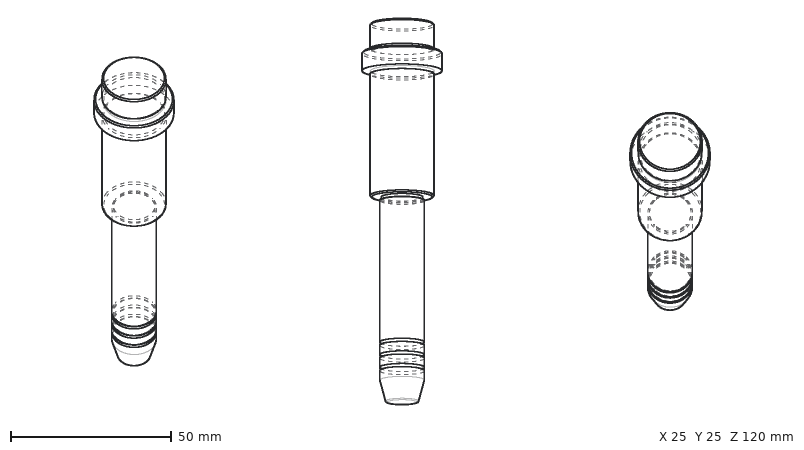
import cadquery as cq
import math

total_length = 120.0
head_diameter = 20.0
collar_diameter = 25.0
shank_diameter = 14.0
head_length = 9.0
collar_length = 6.0
body_length = 40.0
taper_length = 7.0
taper_angle = 15.0
edge_chamfer = 0.5
tip_fillet = 0.5
relief_width = 1.0
relief_depth = 0.5
groove_radius = 0.5
groove_pitch = 4.0
groove_count = 3

head_radius = head_diameter / 2
collar_radius = collar_diameter / 2
shank_radius = shank_diameter / 2
tip_radius = shank_radius - taper_length * math.tan(math.radians(taper_angle))
groove_width = 2 * groove_radius
collar_top = total_length - head_length
collar_bottom = collar_top - collar_length
body_bottom = collar_bottom - body_length


def turn(profile):
    """Close a half-plane profile and revolve it about the Z axis."""
    return profile.close().revolve(360, (0, 0, 0), (0, 1, 0))


def make_blank():
    """Stepped pin with chamfered shoulders and a rounded tip, without undercut and grooves."""
    pin = (
        cq.Workplane("XZ")
        .moveTo(0, 0)
        .lineTo(tip_radius, 0)
        .lineTo(shank_radius, taper_length)
        .lineTo(shank_radius, body_bottom)
        .lineTo(head_radius - edge_chamfer, body_bottom)
        .lineTo(head_radius, body_bottom + edge_chamfer)
        .lineTo(head_radius, collar_bottom)
        .lineTo(collar_radius, collar_bottom)
        .lineTo(collar_radius, collar_top - edge_chamfer)
        .lineTo(collar_radius - edge_chamfer, collar_top)
        .lineTo(head_radius, collar_top)
        .lineTo(head_radius, total_length - edge_chamfer)
        .lineTo(head_radius - edge_chamfer, total_length)
        .lineTo(0, total_length)
    )
    return turn(pin).faces("<Z").edges().fillet(tip_fillet)


def round_groove(radius, top):
    """Half-round ring groove in a cylinder of the given radius, with its upper rim at top."""
    return turn(
        cq.Workplane("XZ")
        .moveTo(radius, top)
        .threePointArc(
            (radius - groove_radius, top - groove_radius),
            (radius, top - groove_width),
        )
    )


def square_relief():
    """Square undercut of the shank below the body."""
    floor_radius = shank_radius - relief_depth
    return turn(
        cq.Workplane("XZ")
        .moveTo(shank_radius, body_bottom)
        .lineTo(floor_radius, body_bottom)
        .lineTo(floor_radius, body_bottom - relief_width)
        .lineTo(shank_radius, body_bottom - relief_width)
    )


result = make_blank().cut(square_relief())

result = result.cut(round_groove(head_radius, collar_top + groove_width))
result = result.cut(round_groove(head_radius, collar_bottom))

for index in range(groove_count):
    result = result.cut(round_groove(shank_radius, taper_length + groove_pitch * (index + 1)))